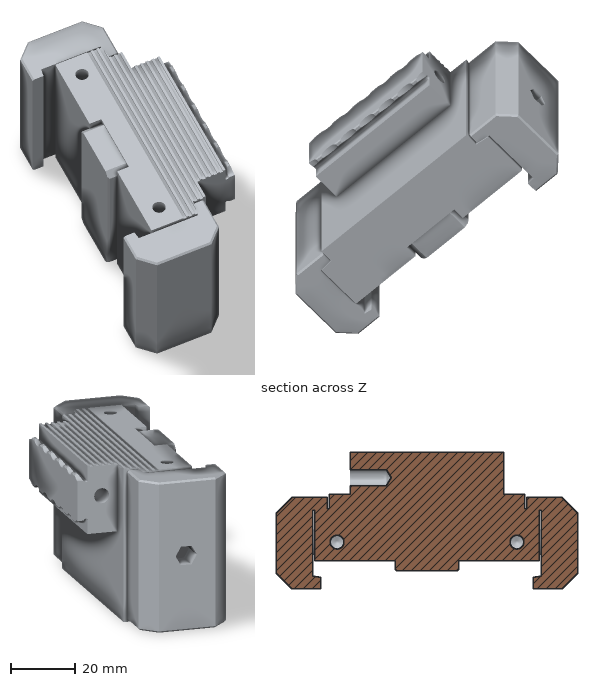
import cadquery as cq
import math


body_half_width = 35.0
body_height = 50.0
body_rear_y = 21.0
step_half_width = 30.5
seat_inner_y = 16.45
seat_outer_y = 15.8
body_top_z = body_height / 2

mount_half_width = 24.0
mount_depth = 9.8
mount_height = 22.3
mount_rear_y = body_rear_y + mount_depth

groove_count = 10
groove_pitch = 2.0
groove_width = 1.1
tooth_width = groove_pitch - groove_width
groove_depth = 0.5

rail_mid_z = 13.7
rail_half_height = 7.9
rail_depth = 3.2
rail_rear_chamfer_y = 0.3
rail_rear_chamfer_z = 0.6
rail_tip_depth = 2.1
flank_end_depth = 1.1
flank_end_half_height = 6.3
neck_depth = 0.6
neck_half_height = 5.9
neck_root_half_height = 6.2
rail_rear_y = mount_rear_y + rail_depth
scallop_diameter = 8.0
scallop_pitch = 8.0
scallop_floor_half_height = 6.5
scallops_each_side = 3

jaw_outer_x = 47
jaw_inner_x = 35.5
jaw_front_y = -8.7
jaw_rear_y = 19.9
jaw_height = 48.9
jaw_corner = 5.0
jaw_end_chamfer = 0.6
rear_lip_x = 31
front_lip_x = 33.0
front_lip_root_y = -4.6
front_lip_tip_y = -5.0

key_width = 20.0
key_front_y = -3.1
keyway_depth = 4.0
key_height = jaw_height
key_corner = 2.0
key_edge_chamfer = 0.6

screw_diameter = 8.0
screw_y = 5.9
socket_across_flats = 6.0
socket_depth = 7.5

top_hole_diameter = 4.1
top_hole_x = 28.0
top_hole_depth = 11.3
side_hole_diameter = 4.9
side_hole_y = 26.0
side_hole_z = 14.8
side_hole_depth = 11.3
drill_point_angle = 118


def prism(points, height):
    """Extrude an XY outline symmetrically about Z = 0."""
    return cq.Workplane("XY").polyline(points).close().extrude(height / 2, both=True)


def box_between(x_range, y_range, z_range):
    """Box spanning the given coordinate ranges."""
    (x0, x1), (y0, y1), (z0, z1) = x_range, y_range, z_range
    return cq.Workplane("XY").box(x1 - x0, y1 - y0, z1 - z0, centered=False).translate((x0, y0, z0))


def drill(diameter, depth):
    """Cutter along -Z from the origin, ending in a conical drill point."""
    radius = diameter / 2
    point_length = radius / math.tan(math.radians(drill_point_angle / 2))
    outline = [(0, 0), (radius, 0), (radius, -depth), (0, -depth - point_length)]
    return cq.Workplane("XZ").polyline(outline).close().revolve(360, (0, 0), (0, 1))


def make_body():
    right_side = [
        (body_half_width, 0),
        (body_half_width, seat_y(body_half_width)),
        (step_half_width, seat_inner_y),
        (step_half_width, body_rear_y),
    ]
    left_side = [(-x, y) for x, y in reversed(right_side)]
    keyway = box_between(
        (-key_width / 2, key_width / 2), (0, keyway_depth), (-body_top_z, body_top_z)
    )
    return prism(right_side + left_side, body_height).cut(keyway)


def seat_y(x):
    """Y of the sloped seat on which the rear lip of a jaw bears."""
    slope = (seat_outer_y - seat_inner_y) / (jaw_inner_x - step_half_width)
    return seat_inner_y + slope * (x - step_half_width)


def make_mount():
    return box_between(
        (-mount_half_width, mount_half_width),
        (body_rear_y, mount_rear_y),
        (body_top_z - mount_height, body_top_z),
    )


def rail_half():
    """Upper half of the rail: Y-Z outline swept along X, sitting on the rail mid plane."""
    y = mount_rear_y
    return (
        cq.Workplane("YZ")
        .moveTo(y, 0)
        .lineTo(rail_rear_y, 0)
        .lineTo(rail_rear_y, rail_half_height - rail_rear_chamfer_z)
        .lineTo(rail_rear_y - rail_rear_chamfer_y, rail_half_height)
        .lineTo(y + rail_tip_depth, rail_half_height)
        .lineTo(y + flank_end_depth, flank_end_half_height)
        .threePointArc((y + neck_depth, neck_half_height), (y, neck_root_half_height))
        .close()
        .extrude(mount_half_width, both=True)
    )


def make_rail():
    scallop_z = scallop_floor_half_height + scallop_diameter / 2
    scallop = (
        cq.Workplane("XZ", origin=(0, rail_rear_y, scallop_z))
        .circle(scallop_diameter / 2)
        .extrude(rail_depth)
    )
    upper = rail_half()
    for i in range(-scallops_each_side, scallops_each_side + 1):
        upper = upper.cut(scallop.translate((i * scallop_pitch, 0, 0)))
    return upper.union(upper.mirror("XY")).translate((0, 0, rail_mid_z))


def make_grooves():
    """Full-width slots across the top, starting one tooth in from the rear of the mount."""
    grooves = cq.Workplane("XY")
    for i in range(groove_count):
        groove_rear = mount_rear_y - tooth_width - i * groove_pitch
        grooves = grooves.union(
            box_between(
                (-body_half_width, body_half_width),
                (groove_rear - groove_width, groove_rear),
                (body_top_z - groove_depth, body_top_z),
            )
        )
    return grooves


def make_jaw():
    """Right-hand jaw: a bevelled slab hollowed from the inside to leave two lips."""
    slab_inner_x = rear_lip_x - jaw_corner
    slab = prism(
        [
            (slab_inner_x, jaw_front_y),
            (jaw_outer_x - jaw_corner, jaw_front_y),
            (jaw_outer_x, jaw_front_y + jaw_corner),
            (jaw_outer_x, jaw_rear_y - jaw_corner),
            (jaw_outer_x - jaw_corner, jaw_rear_y),
            (slab_inner_x, jaw_rear_y),
        ],
        jaw_height,
    )
    slab = slab.faces("<Z or >Z").edges().chamfer(jaw_end_chamfer)
    inside = prism(
        [
            (slab_inner_x, jaw_front_y),
            (front_lip_x, jaw_front_y),
            (front_lip_x, front_lip_tip_y),
            (jaw_inner_x, front_lip_root_y),
            (jaw_inner_x, seat_outer_y),
            (rear_lip_x, seat_y(rear_lip_x)),
            (rear_lip_x, jaw_rear_y),
            (slab_inner_x, jaw_rear_y),
        ],
        jaw_height,
    )
    return slab.cut(inside)


def make_key():
    key = box_between(
        (-key_width / 2, key_width / 2),
        (key_front_y, keyway_depth),
        (-key_height / 2, key_height / 2),
    )
    key = key.edges("|Y").chamfer(key_corner)
    return key.faces("<Y").edges("|Z").chamfer(key_edge_chamfer)


def make_screw():
    """Plain shank bridging the gaps between the body and the two jaws."""
    return (
        cq.Workplane("YZ", origin=(-jaw_inner_x, screw_y, 0))
        .circle(screw_diameter / 2)
        .extrude(2 * jaw_inner_x)
    )


def make_socket():
    corner_diameter = socket_across_flats / math.cos(math.pi / 6)
    return (
        cq.Workplane("YZ", origin=(-jaw_outer_x, screw_y, 0))
        .polygon(6, corner_diameter)
        .extrude(socket_depth)
    )


def make_holes():
    top_drill = drill(top_hole_diameter, top_hole_depth)
    side_drill = drill(side_hole_diameter, side_hole_depth).rotate((0, 0, 0), (0, 1, 0), -90)
    holes = side_drill.translate((-mount_half_width, side_hole_y, side_hole_z))
    for x in (-top_hole_x, top_hole_x):
        holes = holes.union(top_drill.translate((x, screw_y, body_top_z)))
    return holes


jaw = make_jaw()
core = make_body().union(make_mount()).union(make_rail()).cut(make_grooves())
clamp = core.union(jaw).union(jaw.mirror("YZ")).union(make_key()).union(make_screw())
result = clamp.cut(make_socket()).cut(make_holes())